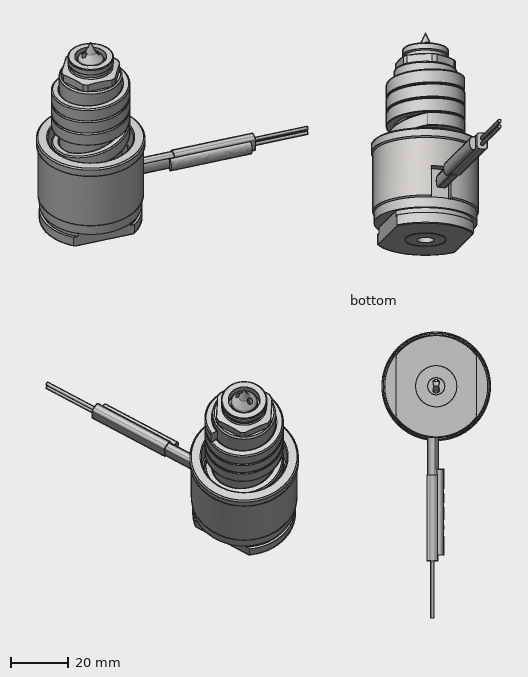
import cadquery as cq
import math

TOTAL_HEIGHT = 76.2
LEAD_END_Y = 81.0

DISC_RADIUS = 7.2
DISC_HEIGHT = 0.25
COLLAR_RADIUS = 18.0
COLLAR_CHAMFER = 0.3
COLLAR_TOP = 4.2
BASE_NECK_RADIUS = 17.1
BASE_NECK_TOP = 6.2
WRENCH_FLATS_WIDTH = 28.0

HOUSING_RADIUS = 18.5
HOUSING_BOTTOM = 9.9
HOUSING_BOTTOM_CHAMFER = 0.5
FLANGE_RADIUS = 19.0
FLANGE_BOTTOM = 31.6
FLANGE_TOP = 35.2
FLANGE_CHAMFER = 0.5
BORE_RADIUS = 15.0
BORE_MOUTH_CHAMFER = 0.4
BORE_STEP_RADIUS = 14.4
BORE_STEP_Z = 26.0
BORE_FLOOR = 22.0

BARREL_RADIUS = 11.0
BARREL_CHAMFER = 0.6
BARREL_TOP = 62.4
HEX_ACROSS_FLATS = 19.0
HEX_CORNER_RADIUS = 10.5
HEX_EDGE_TOP = 65.3
HEX_CROWN_TOP = 65.9
LIP_RADIUS = 8.0
LIP_NECK_RADIUS = 7.45
LIP_NECK_FLARE = 0.4
LIP_BOTTOM = 67.9
LIP_TOP = 70.1
LIP_CHAMFER = 0.3

RECESS_RADIUS = 5.5
RECESS_FLOOR = 67.0
TIP_BASE_RADIUS = 4.6
TIP_BASE_BEVEL = 0.3
TIP_SHOULDER_Z = 69.4
TIP_POINT_BASE_RADIUS = 1.9
TIP_POINT_BASE_Z = 72.0
CHANNEL_RADIUS = 3.0
CHANNEL_TOP = 69.0
TIP_HOLE_DIAMETER = 2.2
TIP_HOLE_TILT = 30.0
TIP_HOLE_OFFSET = 2.5
TIP_HOLE_Z = 71.5
TIP_HOLE_REACH = 3.5

COIL_OUTER_RADIUS = 13.75
COIL_EMBED = 0.5
COIL_HEIGHT = 5.1
COIL_TOP_CHAMFER = 0.45
COIL_BOTTOM_CHAMFER = 0.2
COIL_UPPER_END_ANGLE = 155.0
COIL_UPPER_END_TOP = 59.7
COIL_RUNS = (
    (5.25, 1160.0),
    (21.0, 135.0),
    (11.5, 210.0),
)

LEAD_START_Y = 10.0
LEAD_Z = 17.2
HEATER_LEAD_X = -1.35
HEATER_CABLE_SIZE = (3.24, 5.1)
HEATER_CABLE_FILLET = 0.87
SHRINK_SLEEVE_SIZE = (3.8, 5.9)
SHRINK_SLEEVE_FILLET = 1.05
SHRINK_SLEEVE_START_Y = 31.0
SHRINK_SLEEVE_END_Y = 61.0
WIRE_DIAMETER = 1.25
WIRE_SPACING = 2.05
SENSOR_Z = 16.85
SENSOR_CABLE_X = 0.2
SENSOR_CABLE_SIZE = (1.3, 4.2)
SENSOR_SLEEVE_X = 1.23
SENSOR_SLEEVE_SIZE = (2.86, 4.9)
SENSOR_SLEEVE_START_Y = 29.0
SENSOR_SLEEVE_END_Y = 59.0
CABLE_SLOT_WIDTH = 7.2
CABLE_SLOT_TOP = 21.3


def cylinder(radius, bottom, top):
    return cq.Workplane("XY").workplane(offset=bottom).circle(radius).extrude(top - bottom)


def revolved(points):
    """Turn an outline of (radius, z) points about the Z axis."""
    return cq.Workplane("XZ").polyline(points).close().revolve(360, (0, 0, 0), (0, 1, 0))


def make_base():
    collar = cylinder(COLLAR_RADIUS, DISC_HEIGHT, COLLAR_TOP).faces("<Z").chamfer(COLLAR_CHAMFER)
    collar = collar.union(cylinder(BASE_NECK_RADIUS, COLLAR_TOP, BASE_NECK_TOP))
    flats = cq.Workplane("XY").rect(WRENCH_FLATS_WIDTH, 2 * HOUSING_RADIUS).extrude(BASE_NECK_TOP)
    disc = cylinder(DISC_RADIUS, 0, DISC_HEIGHT)
    ring = cylinder(COLLAR_RADIUS, BASE_NECK_TOP, HOUSING_BOTTOM)
    return collar.intersect(flats).union(disc).union(ring)


def make_housing():
    housing = cylinder(HOUSING_RADIUS, HOUSING_BOTTOM, FLANGE_BOTTOM)
    housing = housing.faces("<Z").chamfer(HOUSING_BOTTOM_CHAMFER)
    flange = cylinder(FLANGE_RADIUS, FLANGE_BOTTOM, FLANGE_TOP).edges().chamfer(FLANGE_CHAMFER)
    mouth_radius = BORE_RADIUS + BORE_MOUTH_CHAMFER
    bore = revolved([
        (0, BORE_FLOOR),
        (BORE_STEP_RADIUS, BORE_FLOOR),
        (BORE_STEP_RADIUS, BORE_STEP_Z),
        (BORE_RADIUS, BORE_STEP_Z),
        (BORE_RADIUS, FLANGE_TOP - BORE_MOUTH_CHAMFER),
        (mouth_radius, FLANGE_TOP),
        (0, FLANGE_TOP),
    ])
    slot = cq.Workplane("XY").box(
        CABLE_SLOT_WIDTH,
        HOUSING_RADIUS - BORE_RADIUS,
        CABLE_SLOT_TOP - HOUSING_BOTTOM,
        centered=(True, False, False),
    ).translate((0, BORE_RADIUS, HOUSING_BOTTOM))
    return housing.union(flange).cut(bore).cut(slot)


def make_nozzle():
    barrel = cylinder(BARREL_RADIUS, BORE_FLOOR, BARREL_TOP).faces(">Z").chamfer(BARREL_CHAMFER)
    flare_radius = LIP_NECK_RADIUS + LIP_NECK_FLARE
    head = revolved([
        (0, BARREL_TOP),
        (HEX_CORNER_RADIUS, BARREL_TOP),
        (HEX_CORNER_RADIUS, HEX_EDGE_TOP),
        (flare_radius, HEX_CROWN_TOP),
        (LIP_NECK_RADIUS, HEX_CROWN_TOP + LIP_NECK_FLARE),
        (LIP_NECK_RADIUS, LIP_BOTTOM - LIP_NECK_FLARE),
        (LIP_RADIUS, LIP_BOTTOM),
        (LIP_RADIUS, LIP_TOP - LIP_CHAMFER),
        (LIP_RADIUS - LIP_CHAMFER, LIP_TOP),
        (RECESS_RADIUS, LIP_TOP),
        (RECESS_RADIUS, RECESS_FLOOR),
        (TIP_BASE_RADIUS, RECESS_FLOOR),
        (TIP_BASE_RADIUS, TIP_SHOULDER_Z - TIP_BASE_BEVEL),
        (TIP_BASE_RADIUS - TIP_BASE_BEVEL, TIP_SHOULDER_Z),
        (TIP_POINT_BASE_RADIUS, TIP_POINT_BASE_Z),
        (0, TOTAL_HEIGHT),
    ])
    hex_corner_diameter = HEX_ACROSS_FLATS / math.cos(math.pi / 6)
    hexagon = (
        cq.Workplane("XY")
        .workplane(offset=BARREL_TOP)
        .transformed(rotate=(0, 0, 30))
        .polygon(6, hex_corner_diameter)
        .extrude(TOTAL_HEIGHT - BARREL_TOP)
    )
    return barrel.union(head.intersect(hexagon))


def make_coil_run(pitch, sweep_angle, lower_angle, lower_top):
    """A right-handed ribbon rising from its lower end, where its upper face is at lower_top."""
    path = cq.Wire.makeHelix(pitch, pitch * sweep_angle / 360, COIL_OUTER_RADIUS)
    inner_radius = BARREL_RADIUS - COIL_EMBED
    half = COIL_HEIGHT / 2
    section = [
        (inner_radius, -half),
        (COIL_OUTER_RADIUS - COIL_BOTTOM_CHAMFER, -half),
        (COIL_OUTER_RADIUS, COIL_BOTTOM_CHAMFER - half),
        (COIL_OUTER_RADIUS, half - COIL_TOP_CHAMFER),
        (COIL_OUTER_RADIUS - COIL_TOP_CHAMFER, half),
        (BARREL_RADIUS + COIL_TOP_CHAMFER, half),
        (BARREL_RADIUS, half - COIL_TOP_CHAMFER),
        (inner_radius, half - COIL_TOP_CHAMFER),
    ]
    run = cq.Workplane("XZ").polyline(section).close().sweep(path, isFrenet=True)
    return run.rotate((0, 0, 0), (0, 0, 1), lower_angle).translate((0, 0, lower_top - half))


def make_coil():
    runs = []
    angle = COIL_UPPER_END_ANGLE
    top = COIL_UPPER_END_TOP
    for pitch, sweep_angle in COIL_RUNS:
        angle -= sweep_angle
        top -= pitch * sweep_angle / 360
        runs.append(make_coil_run(pitch, sweep_angle, angle, top))
    return runs


def make_rounded_lead(size, fillet, start_y, end_y):
    """A straight length of the heater lead with a round-cornered section."""
    width, height = size
    lead = cq.Workplane("XY").box(width, end_y - start_y, height).edges("|Y").fillet(fillet)
    return lead.translate((HEATER_LEAD_X, (start_y + end_y) / 2, LEAD_Z))


def make_oval_lead(x, size, start_y, end_y):
    """A straight length of the sensor lead with an oval section."""
    width, height = size
    section = cq.Workplane("XZ", origin=(x, start_y, SENSOR_Z)).ellipse(width / 2, height / 2)
    return section.extrude(start_y - end_y)


def make_wire(z):
    section = cq.Workplane("XZ", origin=(HEATER_LEAD_X, SHRINK_SLEEVE_END_Y, z)).circle(WIRE_DIAMETER / 2)
    return section.extrude(SHRINK_SLEEVE_END_Y - LEAD_END_Y)


def make_heater_lead():
    cable = make_rounded_lead(HEATER_CABLE_SIZE, HEATER_CABLE_FILLET, LEAD_START_Y, SHRINK_SLEEVE_START_Y)
    sleeve = make_rounded_lead(
        SHRINK_SLEEVE_SIZE, SHRINK_SLEEVE_FILLET, SHRINK_SLEEVE_START_Y, SHRINK_SLEEVE_END_Y
    )
    lead = cable.union(sleeve)
    for side in (-1, 1):
        lead = lead.union(make_wire(LEAD_Z + side * WIRE_SPACING / 2))
    return lead


def make_sensor_lead():
    cable = make_oval_lead(SENSOR_CABLE_X, SENSOR_CABLE_SIZE, LEAD_START_Y, SENSOR_SLEEVE_START_Y)
    sleeve = make_oval_lead(SENSOR_SLEEVE_X, SENSOR_SLEEVE_SIZE, SENSOR_SLEEVE_START_Y, SENSOR_SLEEVE_END_Y)
    return cable.union(sleeve)


def make_tip_hole(side):
    """A hole from the tip's cone, on the +Y or -Y side, slanting down into the melt channel."""
    hole = cq.Workplane("XY").circle(TIP_HOLE_DIAMETER / 2).extrude(TIP_HOLE_REACH, both=True)
    hole = hole.rotate((0, 0, 0), (1, 0, 0), -side * TIP_HOLE_TILT)
    return hole.translate((0, side * TIP_HOLE_OFFSET, TIP_HOLE_Z))


result = make_base().union(make_housing()).union(make_nozzle())
result = result.union(make_heater_lead()).union(make_sensor_lead())
for coil_run in make_coil():
    result = result.union(coil_run)
result = result.cut(cylinder(CHANNEL_RADIUS, 0, CHANNEL_TOP))
for hole_side in (-1, 1):
    result = result.cut(make_tip_hole(hole_side))